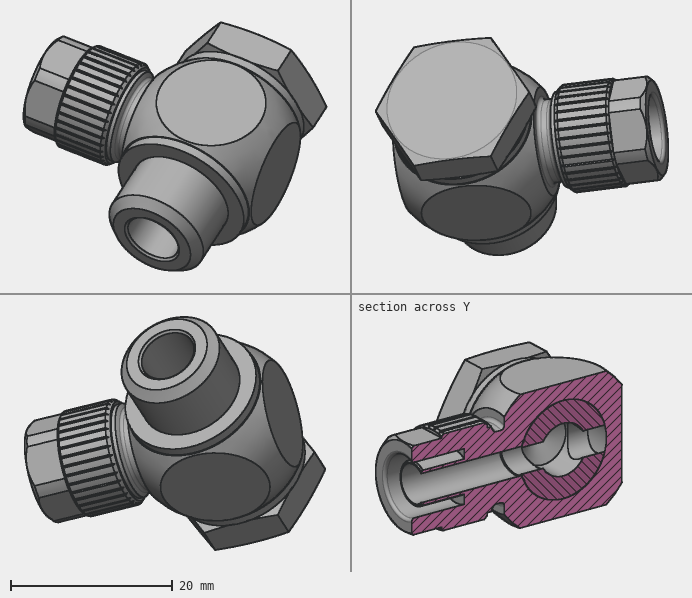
import cadquery as cq
import math


block_width = 18.0
block_length = 14.0
block_flat_diameter = 13.6
seal_diameter = 17.45
seal_thickness = 1.25

shank_diameter = 13.1
shank_projection = 8.0
shank_chamfer = 1.18
head_across_flats = 17.0
head_thickness = 4.5
head_end_diameter = 16.6
head_chamfer_angle = 15.0
bolt_bore_diameter = 7.0
bolt_bore_chamfer = 0.3
bolt_bore_end_y = 2.6
drill_point_angle = 118.0
port_diameter = 4.74
port_y = -0.15

nozzle_end_x = -23.095
nut_hex_length = 4.57
nut_across_flats = 12.0
nut_corner_diameter = 13.0
nut_end_chamfer = 0.55
nut_opening_diameter = 8.2
nut_opening_round = 0.42
nut_cavity_depth = 8.0

knurl_diameter = 13.5
knurl_length = 7.0
knurl_hex_side_chamfer = 0.3
knurl_collar_side_chamfer_length = 0.5
knurl_collar_side_chamfer_height = 0.4
groove_count = 36
groove_width = 0.25
groove_depth = 0.22

collar_diameter = 12.0
collar_length = 0.55
collar_cone_angle = 60.0
neck_diameter = 10.4
neck_round = 0.5

stub_depth = 1.5
stub_diameter = 5.92
stub_chamfer = 0.2
nozzle_bore_diameter = 5.2

block_half = block_width / 2
seal_face_y = block_length / 2 + seal_thickness
head_back_y = seal_face_y + head_thickness
bolt_front_y = -(seal_face_y + shank_projection)
knurl_start_x = nozzle_end_x + nut_hex_length
knurl_end_x = knurl_start_x + knurl_length
knurl_radius = knurl_diameter / 2


def cylinder_y(diameter, y_start, y_end):
    """Cylinder on the bolt axis."""
    return cq.Workplane("XZ", origin=(0, y_start, 0)).circle(diameter / 2).extrude(y_start - y_end)


def cylinder_x(diameter, x_start, x_end):
    """Cylinder on the nozzle axis."""
    return cq.Workplane("YZ", origin=(x_start, 0, 0)).circle(diameter / 2).extrude(x_end - x_start)


def turned_x(points):
    """Solid turned about the nozzle axis from (x, radius) points."""
    return cq.Workplane("XY").polyline(points).close().revolve(360, (0, 0, 0), (1, 0, 0))


def turned_y(points):
    """Solid turned about the bolt axis from (radius, y) points."""
    return cq.Workplane("XY").polyline(points).close().revolve(360, (0, 0, 0), (0, 1, 0))


def make_block():
    """Ball-turned block with a seal ring on each end."""
    ball_radius = math.hypot(block_half, block_flat_diameter / 2)
    block = cq.Workplane("XY").box(block_width, block_length, block_width)
    block = block.intersect(cq.Workplane("XY").sphere(ball_radius))
    return block.union(cylinder_y(seal_diameter, -seal_face_y, seal_face_y))


def make_nut_hex():
    """Hexagon with flats facing +Z and -Z, turned corners and a chamfered end."""
    corner_to_corner = nut_across_flats / math.cos(math.pi / 6)
    hexagon = (
        cq.Workplane("YZ", origin=(nozzle_end_x, 0, 0))
        .polygon(6, corner_to_corner)
        .extrude(nut_hex_length)
    )
    turned = cylinder_x(nut_corner_diameter, nozzle_end_x, knurl_start_x)
    return hexagon.intersect(turned.faces("<X").chamfer(nut_end_chamfer))


def make_knurled_band():
    """Chamfered band with evenly spaced V grooves along it."""
    chamfer_start_x = knurl_end_x - knurl_collar_side_chamfer_length
    collar_side_radius = knurl_radius - knurl_collar_side_chamfer_height
    band = turned_x([
        (knurl_start_x, 0),
        (knurl_start_x, knurl_radius - knurl_hex_side_chamfer),
        (knurl_start_x + knurl_hex_side_chamfer, knurl_radius),
        (chamfer_start_x, knurl_radius),
        (knurl_end_x, collar_side_radius),
        (knurl_end_x, 0),
    ])
    groove = (
        cq.Workplane("YZ", origin=(knurl_start_x, 0, knurl_radius))
        .moveTo(0, -groove_depth)
        .lineTo(groove_width, groove_depth)
        .lineTo(-groove_width, groove_depth)
        .close()
        .extrude(knurl_length)
    )
    for i in range(groove_count):
        band = band.cut(groove.rotate((0, 0, 0), (1, 0, 0), i * 360 / groove_count))
    return band


def make_neck():
    """Collar, cone and neck, rounded into the block face."""
    collar_radius = collar_diameter / 2
    neck_radius = neck_diameter / 2
    cone_angle = math.radians(collar_cone_angle)
    cone_start_x = knurl_end_x + collar_length
    cone_end_x = cone_start_x + (collar_radius - neck_radius) / math.tan(cone_angle)
    tangent = neck_round * math.tan(cone_angle / 2)
    round_start = (cone_end_x - tangent * math.cos(cone_angle), neck_radius + tangent * math.sin(cone_angle))
    round_end = (cone_end_x + tangent, neck_radius)
    outline = (
        cq.Workplane("XY")
        .moveTo(knurl_end_x, 0)
        .lineTo(knurl_end_x, collar_radius)
        .lineTo(cone_start_x, collar_radius)
        .lineTo(*round_start)
        .tangentArcPoint(round_end, relative=False)
        .lineTo(-block_half - neck_round, neck_radius)
        .tangentArcPoint((-block_half, neck_radius + neck_round), relative=False)
        .lineTo(-block_half, 0)
        .close()
    )
    return outline.revolve(360, (0, 0, 0), (1, 0, 0))


def make_nut_cavity():
    """Round space for the hose between the nut wall and the stub, with a rounded mouth."""
    radius = nut_opening_diameter / 2
    floor_x = nozzle_end_x + nut_cavity_depth
    cavity = (
        cq.Workplane("XY")
        .moveTo(nozzle_end_x, 0)
        .lineTo(nozzle_end_x, radius + nut_opening_round)
        .radiusArc((nozzle_end_x + nut_opening_round, radius), -nut_opening_round)
        .lineTo(floor_x, radius)
        .lineTo(floor_x, 0)
        .close()
        .revolve(360, (0, 0, 0), (1, 0, 0))
    )
    stub = cylinder_x(stub_diameter, nozzle_end_x + stub_depth, floor_x)
    return cavity.cut(stub.faces("<X").chamfer(stub_chamfer))


def make_housing():
    """Block, seal rings and nozzle, bored for the hose flow and for the bolt."""
    housing = make_block()
    for piece in (make_neck(), make_knurled_band(), make_nut_hex()):
        housing = housing.union(piece)
    housing = housing.cut(make_nut_cavity())
    housing = housing.cut(cylinder_x(nozzle_bore_diameter, nozzle_end_x, 0))
    return housing.cut(cylinder_y(shank_diameter, -seal_face_y, seal_face_y))


def make_bolt_head():
    """Hexagon with flats facing +Z and -Z, its corners chamfered at both ends."""
    corner_to_corner = head_across_flats / math.cos(math.pi / 6)
    hexagon = (
        cq.Workplane("XZ", origin=(0, head_back_y, 0))
        .polygon(6, corner_to_corner)
        .extrude(head_thickness)
    )
    end_radius = head_end_diameter / 2
    corner_radius = corner_to_corner / 2
    chamfer_height = (corner_radius - end_radius) * math.tan(math.radians(head_chamfer_angle))
    chamfers = turned_y([
        (0, seal_face_y),
        (end_radius, seal_face_y),
        (corner_radius, seal_face_y + chamfer_height),
        (corner_radius, head_back_y - chamfer_height),
        (end_radius, head_back_y),
        (0, head_back_y),
    ])
    return hexagon.intersect(chamfers)


def make_bolt_bore():
    """Blind drilled bore from the front end, with a chamfered mouth and a drill cone."""
    radius = bolt_bore_diameter / 2
    cone_depth = radius / math.tan(math.radians(drill_point_angle / 2))
    return turned_y([
        (0, bolt_front_y),
        (radius + bolt_bore_chamfer, bolt_front_y),
        (radius, bolt_front_y + bolt_bore_chamfer),
        (radius, bolt_bore_end_y),
        (0, bolt_bore_end_y + cone_depth),
    ])


def make_bolt():
    """Hex-headed hollow bolt with its flow port."""
    shank = cylinder_y(shank_diameter, bolt_front_y, seal_face_y)
    shank = shank.faces("<Y").chamfer(shank_chamfer)
    port = cylinder_x(port_diameter, -shank_diameter, shank_diameter).translate((0, port_y, 0))
    return shank.union(make_bolt_head()).cut(make_bolt_bore()).cut(port)


housing = make_housing()
bolt = make_bolt()

result = cq.Compound.makeCompound([housing.val(), bolt.val()])